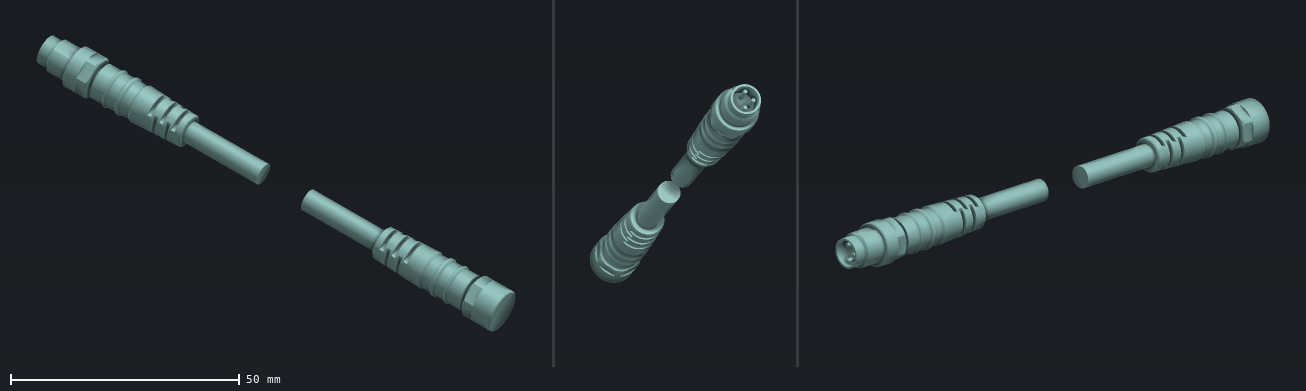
import cadquery as cq
import math

total_length = 122.5
cable_gap_start = 58.3
cable_gap_end = 70.2

cable_radius = 2.6
nut_radius = 5.0
nut_hex_across_flats = 9.1
nut_hex_length = 2.7
nut_chamfer = 0.4
collar_chamfer = 0.2
plug_collar_length = 3.3
socket_collar_length = 5.0

neck_radius = 2.8
neck_length = 1.0
grip_end = 24.6
grip_radius = 4.3
waist_radius = 4.2
ring_radius = 4.7
ring_slope_length = 0.4
ring_spans = [(4.3, 5.3), (7.6, 9.0)]
taper_start = 11.1
taper_lead_length = 0.5
taper_radius = 4.5
taper_end_radius = 3.9
taper_end_chamfer = 0.2

slot_width = 1.0
first_slot_floor = 2.8
slot_floor_drop = 0.1
slot_pitch = 1.6
slot_count = 5
first_slot_center = 16.2

tip_radius = 3.4
tip_length = 2.6
nose_radius = 4.0
nose_length = 5.3
nose_step_length = 0.5
nose_flat_width = 2.7
bore_radius = 3.0
bore_depth = 4.9
pin_radius = 0.5
pin_chamfer = 0.1
pin_circle_radius = 1.8
pin_setback = 0.4
pin_angles = [90, 180, 270]

nose_end = tip_length + nose_length
plug_nut_back = nose_end + plug_collar_length + nut_hex_length
socket_nut_back = total_length - socket_collar_length - nut_hex_length


def cylinder_x(radius, start, end):
    """A cylinder around the X axis between two places."""
    return cq.Workplane("YZ", origin=(start, 0, 0)).circle(radius).extrude(end - start)


def bending_slot(index):
    """A pair of opposite notches with flat floors; even ones face +/-Z and odd ones +/-Y."""
    center = first_slot_center + index * slot_pitch
    size = 2 * ring_radius
    floor = first_slot_floor - index * slot_floor_drop
    outer = cq.Workplane("XY").box(slot_width, size, size)
    core = cq.Workplane("XY").box(slot_width, size, 2 * floor)
    notches = outer.cut(core)
    if index % 2:
        notches = notches.rotate((0, 0, 0), (1, 0, 0), 90)
    return notches.translate((center, 0, 0))


def grip():
    """Neck, ribbed sleeve and slotted taper, starting at x = 0 on the back of the nut."""
    outline = (
        cq.Workplane("XY")
        .lineTo(0, neck_radius)
        .lineTo(neck_length, neck_radius)
        .lineTo(neck_length, grip_radius)
    )
    for start, end in ring_spans:
        outline = (
            outline.lineTo(start, grip_radius)
            .lineTo(start + ring_slope_length, ring_radius)
            .lineTo(end - ring_slope_length, ring_radius)
            .lineTo(end, grip_radius)
        )
    outline = (
        outline.lineTo(taper_start, waist_radius)
        .lineTo(taper_start + taper_lead_length, taper_radius)
        .lineTo(grip_end, taper_end_radius)
        .lineTo(grip_end, 0)
        .close()
    )
    body = outline.revolve(360, (0, 0, 0), (1, 0, 0))
    body = body.faces(">X").chamfer(taper_end_chamfer)
    for index in range(slot_count):
        body = body.cut(bending_slot(index))
    return body


def nut(collar_length):
    """Round collar and rounded-corner hexagon, ending at x = 0."""
    length = collar_length + nut_hex_length
    hex_across_corners = nut_hex_across_flats / math.cos(math.pi / 6)
    hexagon = (
        cq.Workplane("YZ", origin=(-nut_hex_length, 0, 0))
        .polygon(6, hex_across_corners)
        .extrude(nut_hex_length)
        .rotate((0, 0, 0), (1, 0, 0), 90)
    )
    envelope = cylinder_x(nut_radius, -nut_hex_length, 0).faces(">X").chamfer(nut_chamfer)
    collar = cylinder_x(nut_radius, -length, -nut_hex_length).faces("<X").chamfer(collar_chamfer)
    return collar.union(hexagon.intersect(envelope))


def cable_end(collar_length, cable_length):
    """Nut, grip and cable as one shape, with the back of the nut at x = 0."""
    return nut(collar_length).union(grip()).union(cylinder_x(cable_radius, 0, cable_length))


def plug_nose():
    """Hollow nose with a stepped tip, a flat on top and three contact pins."""
    step = (
        cq.Workplane("YZ", origin=(tip_length, 0, 0))
        .circle(tip_radius)
        .workplane(offset=nose_step_length)
        .circle(nose_radius)
        .loft()
    )
    nose = cylinder_x(nose_radius, tip_length + nose_step_length, nose_end).union(step)
    flat_height = math.sqrt(nose_radius**2 - (nose_flat_width / 2) ** 2)
    nose = nose.intersect(
        cq.Workplane("XY", origin=(0, 0, flat_height - nose_radius))
        .box(2 * nose_end, 2 * nose_radius, 2 * nose_radius)
    )
    nose = nose.union(cylinder_x(tip_radius, 0, tip_length))
    nose = nose.cut(cylinder_x(bore_radius, 0, bore_depth))
    for angle in pin_angles:
        y = pin_circle_radius * math.cos(math.radians(angle))
        z = pin_circle_radius * math.sin(math.radians(angle))
        pin = cylinder_x(pin_radius, pin_setback, bore_depth).faces("<X").chamfer(pin_chamfer)
        nose = nose.union(pin.translate((0, y, z)))
    return nose


def plug():
    """Left body: hollow nose with pins, nut, grip and cable as one solid."""
    rear = cable_end(plug_collar_length, cable_gap_start - plug_nut_back)
    return plug_nose().union(rear.translate((plug_nut_back, 0, 0)))


def socket():
    """Right body: mirrored nut, grip and cable with a plain end face."""
    rear = cable_end(socket_collar_length, socket_nut_back - cable_gap_end)
    return rear.mirror("YZ").translate((socket_nut_back, 0, 0))


result = cq.Compound.makeCompound([plug().val(), socket().val()])